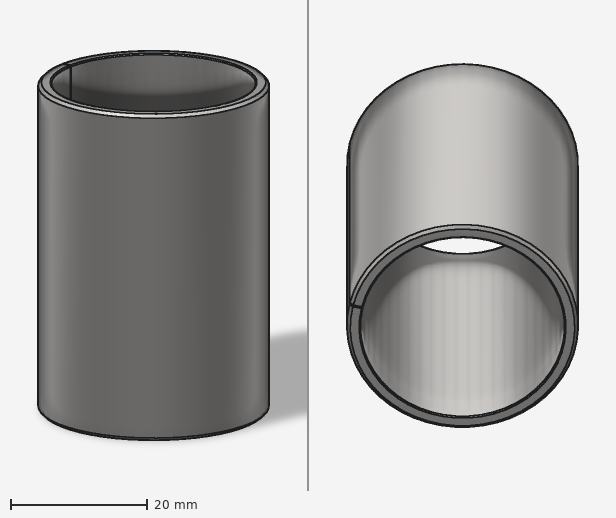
import cadquery as cq

length = 50.0
outer_diameter = 34.0
inner_diameter = 30.0
outer_chamfer = 0.5
inner_chamfer = 0.2
slit_angle = 1.0

outer_radius = outer_diameter / 2
inner_radius = inner_diameter / 2
half_length = length / 2


def wall_section():
    """Section of the wall on the -X side, chamfered at all four corners."""
    outer_shoulder = half_length - outer_chamfer
    inner_shoulder = half_length - inner_chamfer
    outer_rim = outer_radius - outer_chamfer
    inner_rim = inner_radius + inner_chamfer
    return cq.Workplane("XZ").polyline([
        (-inner_radius, -inner_shoulder),
        (-inner_rim, -half_length),
        (-outer_rim, -half_length),
        (-outer_radius, -outer_shoulder),
        (-outer_radius, outer_shoulder),
        (-outer_rim, half_length),
        (-inner_rim, half_length),
        (-inner_radius, inner_shoulder),
    ]).close()


result = wall_section().revolve(360 - slit_angle, (0, 0, 0), (0, 1, 0))